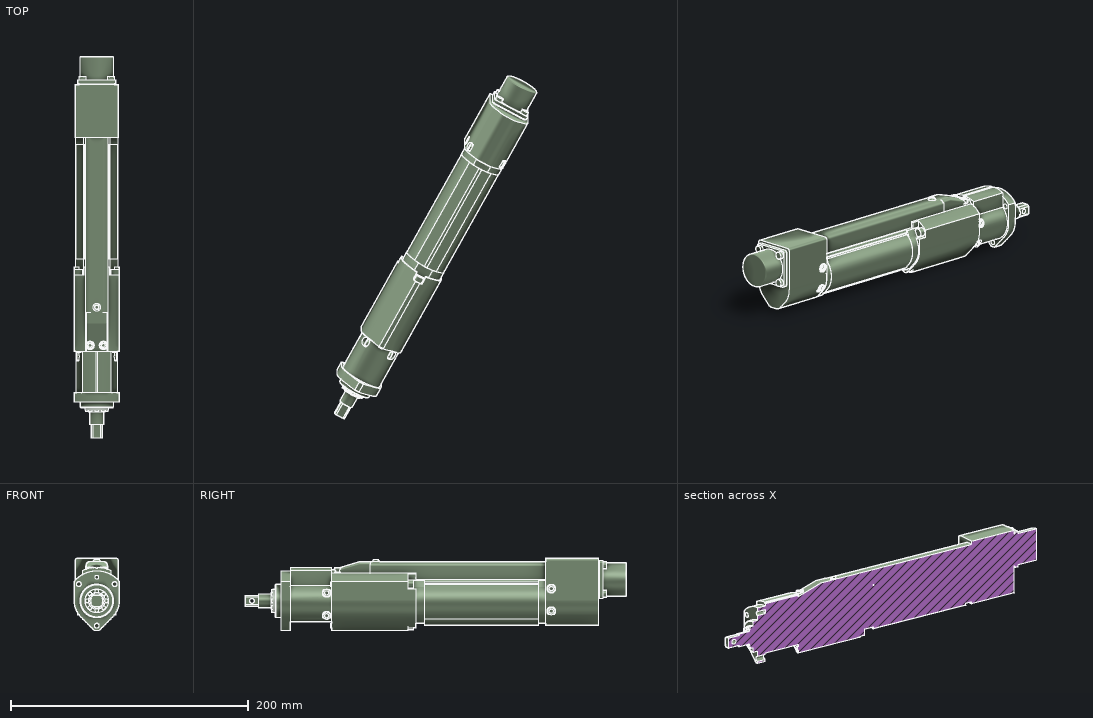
import cadquery as cq
import math

OVERLAP = 0.5

SQUARE_END = 11.2
ROD_END = 21.8
SEAL_RING_FRONT = 23.5
BOSS_FRONT = 25.3
FLANGE_FRONT = 30.0
FLANGE_BACK = 38.0
CLAMP_FRONT = 72.7
CAP_SLOPE_START = 96.0
CAP_BACK = 104.8
CLAMP_POCKET_FLOOR = 136.8
CLAMP_BACK = 143.5
GROOVE_FRONT = 150.5
GROOVE_BACK = 246.7
GEARBOX_FRONT = 252.5
GEARBOX_BACK = 297.0
CONNECTOR_FLANGE_FRONT = 297.5
CONNECTOR_FLANGE_BACK = 301.0
TOTAL_LENGTH = 320.5

PLATE_WIDTH = 38.0
PLATE_TOP_RADIUS = 25.15
PLATE_BOTTOM = -25.0
CLAMP_SLOT_WIDTH = 19.2
CLAMP_SLOT_FLOOR = 19.2
MOUNT_HOLE_D = 4.2
MOUNT_SIDE_X = 15.0
MOUNT_SIDE_Z = 14.0
MOUNT_BOTTOM_Z = -20.8
MOUNT_POINTS = [(-MOUNT_SIDE_X, MOUNT_SIDE_Z), (MOUNT_SIDE_X, MOUNT_SIDE_Z), (0, MOUNT_BOTTOM_Z)]
VENT_HOLE_D = 3.2
VENT_HOLE_Z = 20.0

BOLT_HEAD_D = 7.0
BOLT_HEAD_LENGTH = 4.8
BOLT_POCKET_D = 8.3
BOLT_POCKET_CORNER = 3.2
BOLT_POCKET_REACH = 19.2
BOLT_END_D = 4.0
BOLT_END_LENGTH = 1.0

ROD_D = 12.0
SQUARE_WIDTH = 9.3
SQUARE_CORNER_D = 11.2
CROSS_HOLE_D = 4.0
CROSS_HOLE_Y = 5.8
BOSS_D = 28.2
BOSS_CHAMFER = 0.5
SEAL_RING_D = 20.0
SEAL_HUB_D = 14.0
SEAL_SCREW_COUNT = 8
SEAL_SCREW_D = 3.2
SEAL_SCREW_CIRCLE_R = 8.0
SEAL_SCREW_HEIGHT = 1.3

NOSE_RADIUS = 17.5
NOSE_ROOF_RADIUS = 28.2
NOSE_ROOF_WIDTH = 24.5
NOSE_GROOVE_WIDTH = 1.3
NOSE_GROOVE_DEPTH = 1.0

BODY_RADIUS = 18.3
BODY_BOTTOM = -20.5
HULL_CHAMFER_Z = -11.5
HULL_CHAMFER_SUM = math.sqrt(BODY_RADIUS**2 - HULL_CHAMFER_Z**2) - HULL_CHAMFER_Z
GEARBOX_TOP = 36.0
GEARBOX_EDGE_RADIUS = 2.2
GEARBOX_KEEL_RADIUS = 6.5
COLLAR_RADIUS = 18.0
COLLAR_LIP_Z = 17.3
TUBE_STEP = 0.15
TUBE_RADIUS = COLLAR_RADIUS - TUBE_STEP
TUBE_SHOULDER_X = 13.8
TUBE_SHOULDER_TOP = 18.0
TUBE_LEDGE_X = 10.3
TUBE_LIP_X = 11.2
TUBE_LIP_Z = 15.7
TUBE_GROOVE_X = 9.5
TUBE_GROOVE_Z = 14.5
TUBE_KEEL_X = 10.3
TUBE_KEEL_TIP = 1.3
COLLAR_BOTTOM = -19.0

CHANNEL_WIDTH = 18.5
CHANNEL_TOP = 33.0
CHANNEL_EDGE_RADIUS = 4.0
CAP_WIDTH = 17.5
CAP_EDGE_RADIUS = 2.5
CAP_FRONT_TOP = 26.0
CAP_SCREW_X = 5.6
CAP_SCREW_Y = 78.0
CAP_POCKET_D = 7.0
CAP_POCKET_FLOOR = 24.5
CAP_SCREW_D = 5.5
CAP_SCREW_HEIGHT = 3.5
CAP_SOCKET_D = 3.2
CHANNEL_SCREW_Y = 110.0
CHANNEL_SCREW_D = 6.5
CHANNEL_SCREW_TOP_D = 4.0
CHANNEL_SCREW_HEIGHT = 2.0
CHANNEL_SOCKET_D = 3.2

SIDE_POCKET_D = 7.5
SIDE_SCREW_D = 6.0
SIDE_SOCKET_D = 3.5
SIDE_SCREW_HEIGHT = 2.0
NOSE_SCREW_Y = 68.5
NOSE_SCREWS = [(6.7, 14.7), (-12.5, 10.3)]
GEARBOX_SCREW_Y = 257.3
GEARBOX_SCREWS = [(10.3, 16.0), (-8.5, 14.0)]

CONNECTOR_Z = 18.0
CONNECTOR_D = 28.5
CONNECTOR_EDGE = 1.0
CONNECTOR_FLANGE_SIZE = 32.0
CONNECTOR_FLANGE_CORNER = 2.2
GASKET_SIZE = 29.5
CONNECTOR_SCREW_OFFSET = 12.0
CONNECTOR_SCREW_D = 6.0
CONNECTOR_SCREW_HEIGHT = 3.0


def section(y):
    """Workplane across the part at station y: local x is X, local y is Z."""
    return cq.Workplane("XZ", origin=(0, y, 0))


def extrude_between(sketch, y_front, y_back):
    return sketch.extrude(y_front - y_back)


def cylinder(diameter, y_front, y_back, x=0, z=0):
    return extrude_between(section(y_front).center(x, z).circle(diameter / 2), y_front, y_back)


def box(width, z_bottom, z_top, y_front, y_back):
    outline = section(y_front).center(0, (z_bottom + z_top) / 2).rect(width, z_top - z_bottom)
    return extrude_between(outline, y_front, y_back)


def circle_height(radius, x):
    return math.sqrt(radius**2 - x**2)


def plate(y_front, y_back):
    """Pointed plate: round top, flat flanks and 45 degree faces down to a blunt tip."""
    side = PLATE_WIDTH / 2
    shoulder = circle_height(PLATE_TOP_RADIUS, side)
    diagonal = side * math.sqrt(0.5)
    arc_mid = (side * math.cos(math.pi / 8), -side * math.sin(math.pi / 8))
    tip = 2 * diagonal + PLATE_BOTTOM
    outline = (
        section(y_front)
        .moveTo(-side, shoulder)
        .threePointArc((0, PLATE_TOP_RADIUS), (side, shoulder))
        .lineTo(side, 0)
        .threePointArc(arc_mid, (diagonal, -diagonal))
        .lineTo(tip, PLATE_BOTTOM)
        .lineTo(-tip, PLATE_BOTTOM)
        .lineTo(-diagonal, -diagonal)
        .threePointArc((-arc_mid[0], arc_mid[1]), (-side, 0))
        .close()
    )
    return extrude_between(outline, y_front, y_back)


def hull(y_front, y_back, radius, top_points, lower_points):
    """Symmetric body: right-hand corner points above and below an arc around the rod axis."""
    end_x, end_z = top_points[-1]
    arc_end = (circle_height(radius, HULL_CHAMFER_Z), HULL_CHAMFER_Z)
    mid_angle = (math.atan2(end_z, end_x) + math.atan2(arc_end[1], arc_end[0])) / 2
    arc_mid = (radius * math.cos(mid_angle), radius * math.sin(mid_angle))
    half = (
        section(y_front)
        .moveTo(0, top_points[0][1])
        .polyline(top_points, includeCurrent=True)
        .threePointArc(arc_mid, arc_end)
        .polyline(lower_points, includeCurrent=True)
        .lineTo(0, lower_points[-1][1])
        .close()
    )
    solid = extrude_between(half, y_front, y_back)
    return solid.union(solid.mirror("YZ"))


def make_rod():
    square_half = SQUARE_WIDTH / 2
    square = cylinder(SQUARE_CORNER_D, 0, SQUARE_END + OVERLAP)
    square = square.intersect(box(SQUARE_WIDTH, -square_half, square_half, 0, SQUARE_END + OVERLAP))
    cross_hole = (
        cq.Workplane("YZ").center(CROSS_HOLE_Y, 0).circle(CROSS_HOLE_D / 2).extrude(ROD_D, both=True)
    )
    return square.cut(cross_hole).union(cylinder(ROD_D, SQUARE_END, FLANGE_FRONT))


def make_seal():
    seal = cylinder(SEAL_HUB_D, ROD_END, BOSS_FRONT + OVERLAP)
    seal = seal.union(cylinder(SEAL_RING_D, SEAL_RING_FRONT, BOSS_FRONT + OVERLAP))
    heads = section(SEAL_RING_FRONT - SEAL_SCREW_HEIGHT).polarArray(
        SEAL_SCREW_CIRCLE_R, 90, 360, SEAL_SCREW_COUNT
    )
    return seal.union(heads.circle(SEAL_SCREW_D / 2).extrude(-SEAL_SCREW_HEIGHT - OVERLAP))


def make_flange():
    flange = plate(FLANGE_FRONT, FLANGE_BACK)
    for x, z in MOUNT_POINTS:
        flange = flange.cut(cylinder(MOUNT_HOLE_D, FLANGE_FRONT, FLANGE_BACK, x, z))
    flange = flange.cut(cylinder(VENT_HOLE_D, FLANGE_FRONT, FLANGE_BACK, 0, VENT_HOLE_Z))
    boss = cylinder(BOSS_D, BOSS_FRONT, FLANGE_BACK).faces("<Y").chamfer(BOSS_CHAMFER)
    return flange.union(boss)


def make_nose():
    half_roof = NOSE_ROOF_WIDTH / 2
    eave = circle_height(NOSE_ROOF_RADIUS, half_roof)
    house = (
        section(FLANGE_BACK)
        .moveTo(-half_roof, 0)
        .lineTo(-half_roof, eave)
        .threePointArc((0, NOSE_ROOF_RADIUS), (half_roof, eave))
        .lineTo(half_roof, 0)
        .close()
    )
    nose = extrude_between(house, FLANGE_BACK, CLAMP_FRONT).union(
        cylinder(2 * NOSE_RADIUS, FLANGE_BACK, CLAMP_FRONT)
    )
    groove_floor = NOSE_ROOF_RADIUS - NOSE_GROOVE_DEPTH
    return nose.cut(box(NOSE_GROOVE_WIDTH, groove_floor, NOSE_ROOF_RADIUS, FLANGE_BACK, CLAMP_FRONT))


def bolt_pocket(x, z):
    """Rounded pocket around a bolt head, running out through the clamp's outside."""
    sideways = math.copysign(1, x) if x else 0
    upward = math.copysign(1, z)
    shift = (BOLT_POCKET_REACH - BOLT_POCKET_D) / 2
    outline = section(CLAMP_POCKET_FLOOR).center(x + sideways * shift, z + upward * shift).rect(
        BOLT_POCKET_REACH if sideways else BOLT_POCKET_D, BOLT_POCKET_REACH
    )
    pocket = extrude_between(outline, CLAMP_POCKET_FLOOR, CLAMP_BACK)
    return pocket.edges("|Y").fillet(BOLT_POCKET_CORNER)


def make_clamp():
    clamp = plate(CLAMP_FRONT, CLAMP_BACK)
    clamp = clamp.cut(
        box(CLAMP_SLOT_WIDTH, CLAMP_SLOT_FLOOR, PLATE_TOP_RADIUS, CLAMP_FRONT, CLAMP_BACK)
    )
    head_back = CLAMP_POCKET_FLOOR + BOLT_HEAD_LENGTH
    for x, z in MOUNT_POINTS:
        clamp = clamp.cut(bolt_pocket(x, z))
    for x, z in MOUNT_POINTS:
        clamp = clamp.union(cylinder(BOLT_HEAD_D, CLAMP_POCKET_FLOOR - OVERLAP, head_back, x, z))
        clamp = clamp.union(
            cylinder(BOLT_END_D, CLAMP_FRONT - BOLT_END_LENGTH, CLAMP_FRONT + OVERLAP, x, z)
        )
    return clamp


def make_tube():
    collar_points = [
        (CHANNEL_WIDTH / 2, TUBE_SHOULDER_TOP),
        (TUBE_LIP_X, COLLAR_LIP_Z),
        (TUBE_SHOULDER_X, circle_height(COLLAR_RADIUS, TUBE_SHOULDER_X)),
    ]
    grooved_points = [
        (CHANNEL_WIDTH / 2, TUBE_SHOULDER_TOP),
        (TUBE_LEDGE_X, TUBE_SHOULDER_TOP),
        (TUBE_LIP_X, TUBE_LIP_Z),
        (TUBE_GROOVE_X, TUBE_GROOVE_Z),
        (TUBE_LIP_X, circle_height(TUBE_RADIUS, TUBE_LIP_X)),
    ]
    collar_base = [(HULL_CHAMFER_SUM + COLLAR_BOTTOM, COLLAR_BOTTOM)]
    keel = [(TUBE_KEEL_X, TUBE_KEEL_X - HULL_CHAMFER_SUM), (TUBE_KEEL_TIP, BODY_BOTTOM)]

    tube = hull(GROOVE_FRONT, GROOVE_BACK, TUBE_RADIUS, grooved_points, keel)
    for y_front, y_back in ((CLAMP_FRONT, GROOVE_FRONT), (GROOVE_BACK, GEARBOX_FRONT)):
        tube = tube.union(hull(y_front, y_back, COLLAR_RADIUS, collar_points, collar_base))
    return tube


def make_channel():
    channel = box(CHANNEL_WIDTH, 0, CHANNEL_TOP, CAP_BACK, GEARBOX_FRONT + OVERLAP)
    channel = channel.edges("|Y and >Z").fillet(CHANNEL_EDGE_RADIUS)
    screw = (
        cq.Workplane("XY", origin=(0, CHANNEL_SCREW_Y, CHANNEL_TOP))
        .circle(CHANNEL_SCREW_D / 2)
        .workplane(offset=CHANNEL_SCREW_HEIGHT)
        .circle(CHANNEL_SCREW_TOP_D / 2)
        .loft()
    )
    screw = screw.faces(">Z").workplane().hole(CHANNEL_SOCKET_D, CHANNEL_SCREW_HEIGHT)
    return channel.union(screw)


def make_cap():
    side_outline = [
        (CLAMP_FRONT, 0),
        (CLAMP_FRONT, CAP_FRONT_TOP),
        (CAP_SLOPE_START, CHANNEL_TOP),
        (CAP_BACK + OVERLAP, CHANNEL_TOP),
        (CAP_BACK + OVERLAP, 0),
    ]
    cap = cq.Workplane("YZ").polyline(side_outline).close().extrude(CAP_WIDTH / 2, both=True)
    level_edges = cap.faces(">Z").edges("|Y")
    slope_edges = cap.faces(cq.selectors.NearestToPointSelector(
        (0, (CLAMP_FRONT + CAP_SLOPE_START) / 2, (CAP_FRONT_TOP + CHANNEL_TOP) / 2)
    )).edges("not |X")
    return level_edges.add(slope_edges).fillet(CAP_EDGE_RADIUS)


def add_cap_screws(body):
    for x in (-CAP_SCREW_X, CAP_SCREW_X):
        seat = cq.Workplane("XY", origin=(x, CAP_SCREW_Y, CAP_POCKET_FLOOR))
        body = body.cut(seat.circle(CAP_POCKET_D / 2).extrude(CHANNEL_TOP - CAP_POCKET_FLOOR))
        head = seat.workplane(offset=-OVERLAP).circle(CAP_SCREW_D / 2)
        head = head.extrude(CAP_SCREW_HEIGHT + OVERLAP)
        body = body.union(head.faces(">Z").workplane().hole(CAP_SOCKET_D, CAP_SCREW_HEIGHT / 2))
    return body


def make_gearbox():
    block = hull(
        GEARBOX_FRONT,
        GEARBOX_BACK,
        BODY_RADIUS,
        [(BODY_RADIUS, GEARBOX_TOP), (BODY_RADIUS, 0)],
        [(HULL_CHAMFER_SUM + BODY_BOTTOM, BODY_BOTTOM)],
    )
    block = block.edges("|Y and >Z").fillet(GEARBOX_EDGE_RADIUS)
    return block.edges("|Y and <Z").fillet(GEARBOX_KEEL_RADIUS)


def add_side_screws(body, y, screws):
    """Sink socket screws, lying along X, into both flanks."""
    for z, floor_x in screws:
        for side in (-1, 1):
            seat = cq.Workplane("YZ", origin=(side * floor_x, y, z))
            body = body.cut(seat.circle(SIDE_POCKET_D / 2).extrude(side * BODY_RADIUS))
            head = cq.Workplane("YZ", origin=(side * (floor_x - OVERLAP), y, z))
            head = head.circle(SIDE_SCREW_D / 2).extrude(side * (SIDE_SCREW_HEIGHT + OVERLAP))
            socket = seat.circle(SIDE_SOCKET_D / 2).extrude(side * SIDE_SCREW_HEIGHT)
            body = body.union(head.cut(socket))
    return body


def make_connector():
    flange = extrude_between(
        section(CONNECTOR_FLANGE_FRONT).center(0, CONNECTOR_Z).rect(
            CONNECTOR_FLANGE_SIZE, CONNECTOR_FLANGE_SIZE
        ),
        CONNECTOR_FLANGE_FRONT,
        CONNECTOR_FLANGE_BACK,
    )
    flange = flange.edges("|Y").fillet(CONNECTOR_FLANGE_CORNER)
    half_gasket = GASKET_SIZE / 2
    gasket = box(
        GASKET_SIZE,
        CONNECTOR_Z - half_gasket,
        CONNECTOR_Z + half_gasket,
        GEARBOX_BACK - OVERLAP,
        CONNECTOR_FLANGE_BACK,
    )
    shell = cylinder(CONNECTOR_D, CONNECTOR_FLANGE_FRONT, TOTAL_LENGTH, 0, CONNECTOR_Z)
    connector = flange.union(gasket).union(shell.faces(">Y").fillet(CONNECTOR_EDGE))
    for x in (-CONNECTOR_SCREW_OFFSET, CONNECTOR_SCREW_OFFSET):
        for dz in (-CONNECTOR_SCREW_OFFSET, CONNECTOR_SCREW_OFFSET):
            connector = connector.union(
                cylinder(
                    CONNECTOR_SCREW_D,
                    CONNECTOR_FLANGE_BACK - OVERLAP,
                    CONNECTOR_FLANGE_BACK + CONNECTOR_SCREW_HEIGHT,
                    x,
                    CONNECTOR_Z + dz,
                )
            )
    return connector


nose = add_side_screws(make_nose(), NOSE_SCREW_Y, NOSE_SCREWS)
gearbox = add_side_screws(make_gearbox(), GEARBOX_SCREW_Y, GEARBOX_SCREWS)

result = make_clamp().union(make_tube()).union(make_channel()).union(make_cap())
result = add_cap_screws(result)
for piece in (nose, make_flange(), make_seal(), make_rod(), gearbox, make_connector()):
    result = result.union(piece)